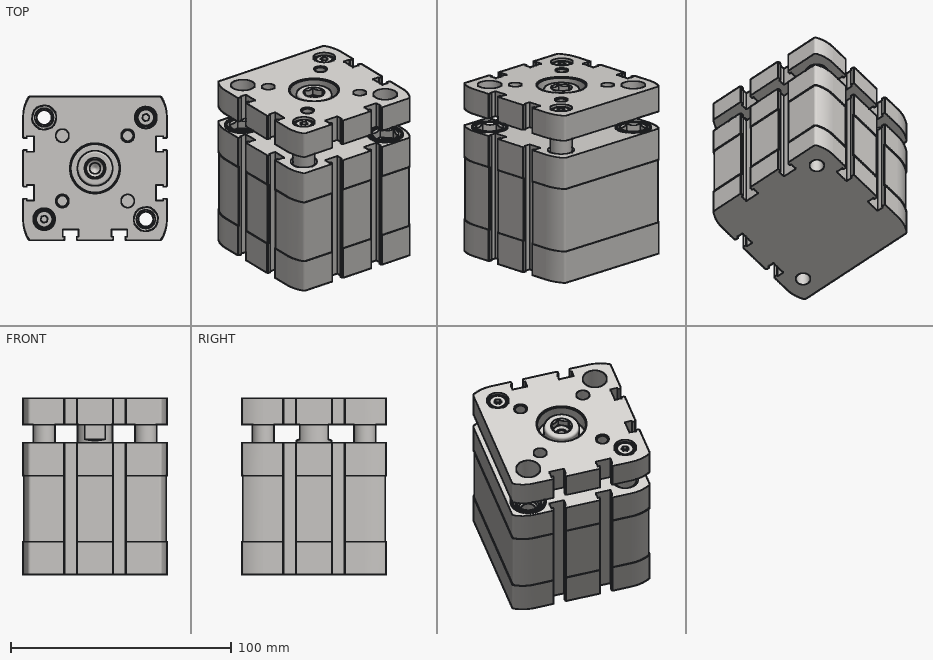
import cadquery as cq
import math

WIDTH = 65.5
HALF = WIDTH / 2
TOTAL_HEIGHT = 80.2
HOUSING_HEIGHT = 60.0
CAP_HEIGHT = 15.0
WAIST_INSET = 0.3
PLATE_THICKNESS = 12.0
PLATE_BOTTOM = TOTAL_HEIGHT - PLATE_THICKNESS

ARC_START_Y = 23.25
ARC_RADIUS = 17.65
CORNER_ROUND = 1.4

SLOT_OFFSET = 11.1
SLOT_THROAT = 5.4
SLOT_CHAMFER = 0.4
SLOT_LIP = 1.8
SLOT_WIDTH = 7.0
SLOT_DEPTH = 5.0

CORNER_OFFSET = 23.1
GUIDE_DIAMETER = 10.0
ROD_END = CAP_HEIGHT
CORNER_HEX_TURN = -45
GUIDE_MOUTH_DIAMETER = 12.0
GUIDE_HEAD_DIAMETER = 8.6
GUIDE_HEAD_CHAMFER = 0.65
GUIDE_HEAD_SINK = 0.7
GUIDE_RECESS_DEPTH = 1.45
GUIDE_HEX_FLATS = 3.0
GUIDE_HEX_DEPTH = 2.0

ROD_DIAMETER = 16.0
ROD_FLATS = 13.0
FLAT_BOTTOM = 61.6
FLAT_RUNOUT = 0.7

RECESS_DIAMETER = 22.0
RECESS_CHAMFER = 0.5
RECESS_DEPTH = 7.8
HEAD_DIAMETER = 16.0
HEAD_SINK = 1.3
HEAD_ROUND = 1.1
HEAD_HEX_FLATS = 8.0
HEAD_HEX_DEPTH = 3.7
HEAD_MOUTH_DIAMETER = 9.6
PILOT_DIAMETER = 5.0
PILOT_DEPTH = 0.8
DRILL_HALF_ANGLE = math.radians(59)

ACCESS_DIAMETER = 11.0
PATTERN_OFFSET = 14.8
DOWEL_DIAMETER = 6.0
THREAD_DIAMETER = 5.0

PLUG_BORE_DIAMETER = 16.4
PLUG_DIAMETER = 15.5
PLUG_CHAMFER = 0.5
PLUG_HEX_FLATS = 10.6
PLUG_MOUTH_DIAMETER = 12.5
PLUG_SOCKET_DEPTH = 4.6
PLUG_HOLE_DIAMETER = 6.65
PLUG_HOLE_MOUTH = 8.5

GUIDE_PLACES = [(CORNER_OFFSET, CORNER_OFFSET), (-CORNER_OFFSET, -CORNER_OFFSET)]
PLUG_PLACES = [(-CORNER_OFFSET, CORNER_OFFSET), (CORNER_OFFSET, -CORNER_OFFSET)]
THREAD_PLACES = [(PATTERN_OFFSET, PATTERN_OFFSET), (-PATTERN_OFFSET, -PATTERN_OFFSET)]
DOWEL_PLACES = [(-PATTERN_OFFSET, PATTERN_OFFSET), (PATTERN_OFFSET, -PATTERN_OFFSET)]


def cylinder(diameter, bottom, top, place=(0, 0)):
    disc = cq.Workplane("XY", origin=(*place, bottom)).circle(diameter / 2)
    return disc.extrude(top - bottom)


def cone(bottom_diameter, top_diameter, bottom, top, place=(0, 0)):
    solid = cq.Solid.makeCone(bottom_diameter / 2, top_diameter / 2, top - bottom)
    return cq.Workplane(solid.translate(cq.Vector(*place, bottom)))


def countersink(diameter, mouth_diameter, top, place):
    """45-degree cone that widens a hole up to its mouth at height top."""
    depth = (mouth_diameter - diameter) / 2
    return cone(diameter, mouth_diameter, top - depth, top, place)


def hexagon(flats, bottom, top, place=(0, 0), turn=0):
    """Hexagonal prism with a corner on the X axis, turned about Z."""
    corners = flats / math.cos(math.pi / 6)
    prism = cq.Workplane("XY").polygon(6, corners).extrude(top - bottom)
    return prism.rotate((0, 0, 0), (0, 0, 1), turn).translate((*place, bottom))


def chamfered_hexagon(flats, mouth_diameter, bottom, top, place=(0, 0), turn=0):
    """Hexagon socket whose mouth is widened by a cone."""
    socket = hexagon(flats, bottom, top, place, turn)
    return socket.union(countersink(flats, mouth_diameter, top, place))


def slot_cutter(inset, bottom, top):
    """T-slot that opens towards -Y, centred on X = 0."""
    face = -HALF + inset
    throat = SLOT_THROAT / 2
    mouth = throat + SLOT_CHAMFER
    wide = SLOT_WIDTH / 2
    lip = -HALF + SLOT_LIP
    floor = -HALF + SLOT_DEPTH
    right_side = [(mouth, face), (throat, face + SLOT_CHAMFER), (throat, lip),
                  (wide, lip), (wide, floor)]
    left_side = [(-x, y) for x, y in reversed(right_side)]
    outline = cq.Workplane("XY", origin=(0, 0, bottom)).polyline(right_side + left_side)
    return outline.close().extrude(top - bottom)


def profile_block(bottom, top, inset=0):
    """Outline shared by plate and housing, with slots in -X, +X and -Y."""
    side = HALF - inset
    radius = ARC_RADIUS - inset
    arc_center_x = side - radius

    def arc_x(y):
        return arc_center_x + math.sqrt(radius ** 2 - (y - ARC_START_Y) ** 2)

    middle_y = (ARC_START_Y + side) / 2
    middle_x = arc_x(middle_y)
    corner_x = arc_x(side)
    block = (
        cq.Workplane("XY", origin=(0, 0, bottom))
        .moveTo(side, -ARC_START_Y)
        .lineTo(side, ARC_START_Y)
        .threePointArc((middle_x, middle_y), (corner_x, side))
        .lineTo(-corner_x, side)
        .threePointArc((-middle_x, middle_y), (-side, ARC_START_Y))
        .lineTo(-side, -ARC_START_Y)
        .threePointArc((-middle_x, -middle_y), (-corner_x, -side))
        .lineTo(corner_x, -side)
        .threePointArc((middle_x, -middle_y), (side, -ARC_START_Y))
        .close()
        .extrude(top - bottom)
    )
    block = block.edges("|Z and (>Y or <Y)").fillet(CORNER_ROUND)
    for turn in (-90, 0, 90):
        for offset in (-SLOT_OFFSET, SLOT_OFFSET):
            slot = slot_cutter(inset, bottom, top).translate((offset, 0, 0))
            block = block.cut(slot.rotate((0, 0, 0), (0, 0, 1), turn))
    return block


def piston_rod():
    rod = cylinder(ROD_DIAMETER, ROD_END, PLATE_BOTTOM)
    flat = ROD_FLATS / 2
    edge = ROD_DIAMETER / 2
    outline = [(flat, PLATE_BOTTOM), (flat, FLAT_BOTTOM),
               (edge, FLAT_BOTTOM - FLAT_RUNOUT), (edge, PLATE_BOTTOM)]
    cutter = cq.Workplane("YZ").polyline(outline).close().extrude(edge, both=True)
    return rod.cut(cutter).cut(cutter.mirror("XZ"))


def add_central_screw(plate):
    floor = TOTAL_HEIGHT - RECESS_DEPTH
    head_top = TOTAL_HEIGHT - HEAD_SINK
    recess_mouth = RECESS_DIAMETER + 2 * RECESS_CHAMFER
    plate = plate.cut(cylinder(RECESS_DIAMETER, floor, TOTAL_HEIGHT))
    plate = plate.cut(countersink(RECESS_DIAMETER, recess_mouth, TOTAL_HEIGHT, (0, 0)))

    head = cylinder(HEAD_DIAMETER, floor, head_top).faces(">Z").edges().fillet(HEAD_ROUND)
    hex_floor = head_top - HEAD_HEX_DEPTH
    head = head.cut(chamfered_hexagon(HEAD_HEX_FLATS, HEAD_MOUTH_DIAMETER, hex_floor, head_top))
    plate = plate.union(head)

    slope = math.tan(DRILL_HALF_ANGLE)
    pilot_top = hex_floor - (HEAD_HEX_FLATS - PILOT_DIAMETER) / 2 / slope
    pilot_bottom = pilot_top - PILOT_DEPTH
    point = pilot_bottom - PILOT_DIAMETER / 2 / slope
    plate = plate.cut(cone(PILOT_DIAMETER, HEAD_HEX_FLATS, pilot_top, hex_floor))
    plate = plate.cut(cylinder(PILOT_DIAMETER, pilot_bottom, pilot_top))
    return plate.cut(cone(0, PILOT_DIAMETER, point, pilot_bottom))


def add_guide(plate, place):
    """Guide rod below the plate and its sunk screw head above."""
    recess_floor = TOTAL_HEIGHT - GUIDE_RECESS_DEPTH
    head_top = TOTAL_HEIGHT - GUIDE_HEAD_SINK
    plate = plate.cut(cylinder(GUIDE_DIAMETER, recess_floor, TOTAL_HEIGHT, place))
    head = cylinder(GUIDE_HEAD_DIAMETER, recess_floor, head_top, place)
    plate = plate.union(head.faces(">Z").chamfer(GUIDE_HEAD_CHAMFER))
    plate = plate.cut(hexagon(GUIDE_HEX_FLATS, head_top - GUIDE_HEX_DEPTH, head_top, place, CORNER_HEX_TURN))
    return plate.union(cylinder(GUIDE_DIAMETER, ROD_END, PLATE_BOTTOM, place))


def build_yoke():
    yoke = profile_block(PLATE_BOTTOM, TOTAL_HEIGHT)
    for place in PLUG_PLACES:
        yoke = yoke.cut(cylinder(ACCESS_DIAMETER, PLATE_BOTTOM, TOTAL_HEIGHT, place))
    for place in DOWEL_PLACES:
        yoke = yoke.cut(cylinder(DOWEL_DIAMETER, PLATE_BOTTOM, TOTAL_HEIGHT, place))
    for place in THREAD_PLACES:
        yoke = yoke.cut(cylinder(THREAD_DIAMETER, PLATE_BOTTOM, TOTAL_HEIGHT, place))
        yoke = yoke.cut(countersink(THREAD_DIAMETER, DOWEL_DIAMETER, TOTAL_HEIGHT, place))
    yoke = add_central_screw(yoke)
    for place in GUIDE_PLACES:
        yoke = add_guide(yoke, place)
    return yoke.union(piston_rod())


def cut_plug(housing, place):
    """Ring groove around a plug, its hexagon socket and the through hole."""
    groove_floor = HOUSING_HEIGHT - PLUG_CHAMFER
    plug_top_diameter = PLUG_DIAMETER - 2 * PLUG_CHAMFER
    groove = cylinder(PLUG_BORE_DIAMETER, groove_floor, HOUSING_HEIGHT, place)
    groove = groove.cut(cone(PLUG_DIAMETER, plug_top_diameter, groove_floor, HOUSING_HEIGHT, place))
    socket_floor = HOUSING_HEIGHT - PLUG_SOCKET_DEPTH
    socket = chamfered_hexagon(
        PLUG_HEX_FLATS, PLUG_MOUTH_DIAMETER, socket_floor, HOUSING_HEIGHT, place, CORNER_HEX_TURN
    )
    hole = cylinder(PLUG_HOLE_DIAMETER, 0, socket_floor, place)
    hole_mouth = countersink(PLUG_HOLE_DIAMETER, PLUG_HOLE_MOUTH, socket_floor, place)
    return housing.cut(groove).cut(socket).cut(hole).cut(hole_mouth)


def build_housing():
    upper_cap_bottom = HOUSING_HEIGHT - CAP_HEIGHT
    housing = profile_block(0, CAP_HEIGHT)
    housing = housing.union(profile_block(CAP_HEIGHT, upper_cap_bottom, WAIST_INSET))
    housing = housing.union(profile_block(upper_cap_bottom, HOUSING_HEIGHT))
    housing = housing.cut(cylinder(ROD_DIAMETER, ROD_END, HOUSING_HEIGHT))
    for place in GUIDE_PLACES:
        housing = housing.cut(cylinder(GUIDE_DIAMETER, ROD_END, HOUSING_HEIGHT, place))
        housing = housing.cut(
            countersink(GUIDE_DIAMETER, GUIDE_MOUTH_DIAMETER, HOUSING_HEIGHT, place)
        )
    for place in PLUG_PLACES:
        housing = cut_plug(housing, place)
    return housing


housing = build_housing()
yoke = build_yoke()
result = cq.Compound.makeCompound([housing.val(), yoke.val()])